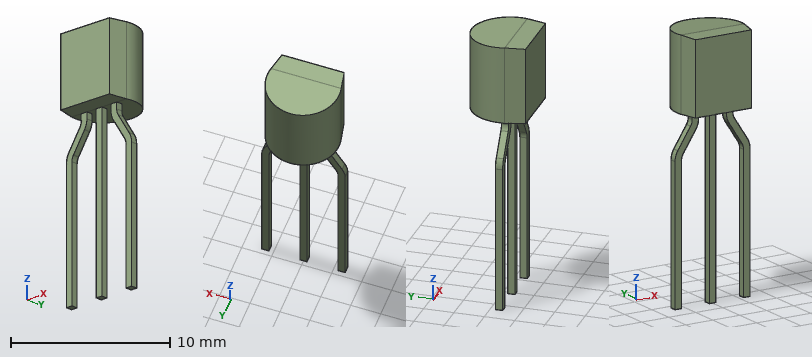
import cadquery as cq
import math

housing_radius = 2.4
housing_front = -1.8
front_half_width = 2.08
parting_y = -0.52
housing_bottom = 12.71
housing_top = 17.9
end_draft = math.radians(1.5)
parting_half_width = math.sqrt(housing_radius**2 - parting_y**2)

lead_size = 0.48
lead_y = parting_y + lead_size / 2
root_pitch = 1.27
tip_pitch = 2.55
bend_radius = 1.0
bend_angle = math.radians(33)
bend_start = 12.25


def make_housing():
    """D-shaped prism with end faces that slope down from the parting edge."""
    plan = (
        cq.Workplane("XY")
        .workplane(offset=housing_bottom)
        .moveTo(-front_half_width, housing_front)
        .lineTo(front_half_width, housing_front)
        .lineTo(parting_half_width, parting_y)
        .threePointArc((0, housing_radius), (-parting_half_width, parting_y))
        .close()
        .extrude(housing_top - housing_bottom)
    )
    front_drop = (parting_y - housing_front) * math.tan(end_draft)
    back_drop = (housing_radius - parting_y) * math.tan(end_draft)
    side = (
        cq.Workplane("YZ")
        .polyline([
            (housing_front, housing_bottom + front_drop),
            (parting_y, housing_bottom),
            (housing_radius, housing_bottom + back_drop),
            (housing_radius, housing_top - back_drop),
            (parting_y, housing_top),
            (housing_front, housing_top - front_drop),
        ])
        .close()
        .extrude(housing_radius, both=True)
    )
    return plan.intersect(side)


def straight_path():
    """Centre line of the middle lead, ending inside the housing height."""
    return cq.Workplane("XZ", origin=(0, lead_y, 0)).lineTo(0, housing_bottom + lead_size)


def bent_path(side):
    """Centre line of an outer lead; side is -1 for left and 1 for right."""
    root_x = side * root_pitch
    tip_x = side * tip_pitch
    bend_x = bend_radius * (1 - math.cos(bend_angle))
    bend_z = bend_radius * math.sin(bend_angle)
    half_bend_x = bend_radius * (1 - math.cos(bend_angle / 2))
    half_bend_z = bend_radius * math.sin(bend_angle / 2)
    slope_run = tip_pitch - root_pitch - 2 * bend_x
    slope_drop = slope_run / math.tan(bend_angle)
    bend_end = bend_start - 2 * bend_z - slope_drop
    return (
        cq.Workplane("XZ", origin=(0, lead_y, 0))
        .moveTo(tip_x, 0)
        .lineTo(tip_x, bend_end)
        .threePointArc(
            (tip_x - side * half_bend_x, bend_end + half_bend_z),
            (tip_x - side * bend_x, bend_end + bend_z),
        )
        .lineTo(root_x + side * bend_x, bend_start - bend_z)
        .threePointArc(
            (root_x + side * half_bend_x, bend_start - half_bend_z),
            (root_x, bend_start),
        )
        .lineTo(root_x, housing_bottom + lead_size)
    )


def make_lead(side, housing):
    """Lead at side -1, 0 or 1, trimmed to butt against the sloping housing underside."""
    path = bent_path(side) if side else straight_path()
    lead = (
        cq.Workplane("XY", origin=(side * tip_pitch, lead_y, 0))
        .rect(lead_size, lead_size)
        .sweep(path)
    )
    return lead.cut(housing)


housing = make_housing()
leads = [make_lead(side, housing) for side in (-1, 0, 1)]

result = cq.Compound.makeCompound([housing.solids().val(), *[lead.solids().val() for lead in leads]])